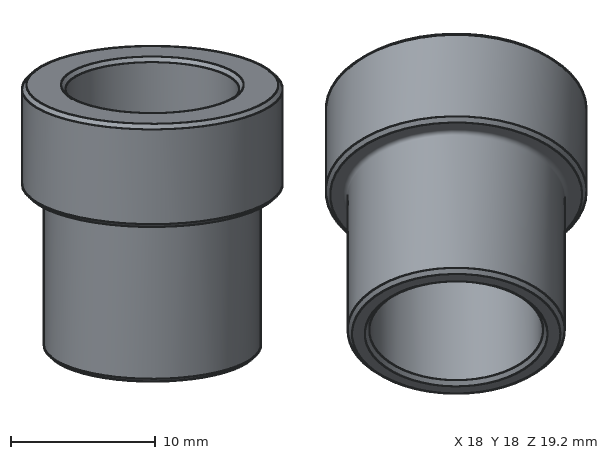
import cadquery as cq

total_height = 19.2
head_height = 7.49
head_diameter = 18.0
shank_diameter = 15.0
bore_diameter = 12.0
edge_chamfer = 0.3
neck_fillet = 0.3

shank_height = total_height - head_height
head_radius = head_diameter / 2
shank_radius = shank_diameter / 2
bore_radius = bore_diameter / 2

half_section = (
    cq.Workplane("XZ")
    .moveTo(bore_radius + edge_chamfer, 0)
    .lineTo(shank_radius - edge_chamfer, 0)
    .lineTo(shank_radius, edge_chamfer)
    .lineTo(shank_radius, shank_height - neck_fillet)
    .radiusArc((shank_radius + neck_fillet, shank_height), neck_fillet)
    .lineTo(head_radius - edge_chamfer, shank_height)
    .lineTo(head_radius, shank_height + edge_chamfer)
    .lineTo(head_radius, total_height - edge_chamfer)
    .lineTo(head_radius - edge_chamfer, total_height)
    .lineTo(bore_radius + edge_chamfer, total_height)
    .lineTo(bore_radius, total_height - edge_chamfer)
    .lineTo(bore_radius, edge_chamfer)
    .close()
)

result = half_section.revolve(360, (0, 0, 0), (0, 1, 0))